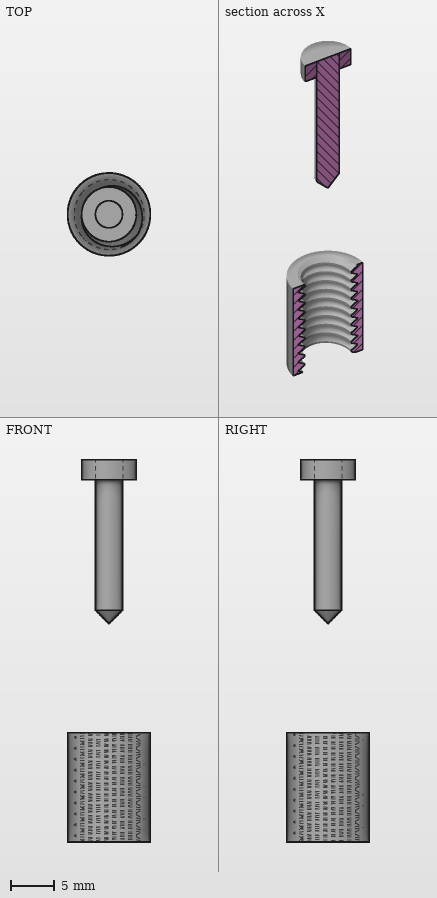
import cadquery as cq
import math

sleeve_diameter = 9.65
sleeve_height = 12.7
bore_diameter = 6.35

turns_in_sleeve = 10
thread_pitch = sleeve_height / turns_in_sleeve
thread_depth = 0.9
thread_flank_angle = 30.0
thread_phase = -35.0
thread_overlap = 0.2

overall_height = 44.45
screw_length = 19.05
shaft_diameter = 3.15
tip_length = shaft_diameter / 2
head_diameter = bore_diameter
head_height = 2.35


def make_thread_cutter():
    """Helical V groove solid, one turn longer than the sleeve at each end."""
    bore_radius = bore_diameter / 2
    start_z = -thread_pitch
    length = sleeve_height + 2 * thread_pitch
    inner_radius = bore_radius - thread_overlap
    root_radius = bore_radius + thread_depth
    half_width = (root_radius - inner_radius) * math.tan(math.radians(thread_flank_angle))
    path = cq.Workplane(cq.Wire.makeHelix(thread_pitch, length, bore_radius))
    groove = (
        cq.Workplane("XZ")
        .moveTo(inner_radius, -half_width)
        .lineTo(root_radius, 0)
        .lineTo(inner_radius, half_width)
        .close()
        .sweep(path, isFrenet=True)
    )
    return groove.rotate((0, 0, 0), (0, 0, 1), thread_phase).translate((0, 0, start_z))


def make_sleeve():
    """Tube with a plain outside and a threaded through bore."""
    blank = cq.Workplane("XY").circle(sleeve_diameter / 2).extrude(sleeve_height)
    bore = cq.Workplane("XY").circle(bore_diameter / 2).extrude(sleeve_height)
    return blank.cut(make_thread_cutter()).cut(bore).solids()


def make_shaft():
    """Pointed round shaft, flush with the top of the head."""
    radius = shaft_diameter / 2
    tip_z = overall_height - screw_length
    return (
        cq.Workplane("XZ")
        .moveTo(0, tip_z)
        .lineTo(radius, tip_z + tip_length)
        .lineTo(radius, overall_height)
        .lineTo(0, overall_height)
        .close()
        .revolve(360, (0, 0), (0, 1))
    )


def make_head():
    """Round collar fitted around the top end of the shaft."""
    return (
        cq.Workplane("XY")
        .workplane(offset=overall_height - head_height)
        .circle(head_diameter / 2)
        .circle(shaft_diameter / 2)
        .extrude(head_height)
    )


sleeve = make_sleeve()
shaft = make_shaft()
head = make_head()

result = cq.Compound.makeCompound([*sleeve.vals(), shaft.val(), head.val()])